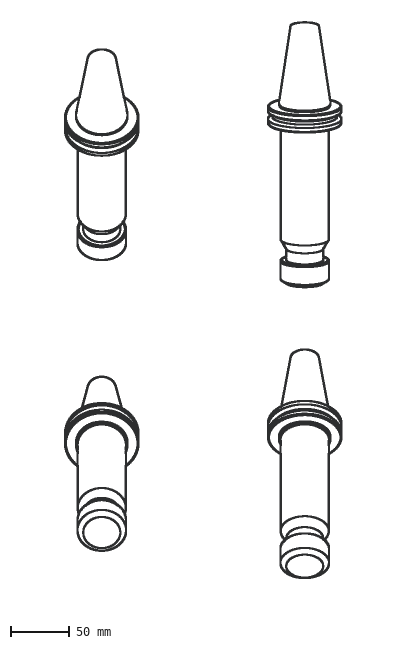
import cadquery as cq


total_length = 228.2
taper_large_diameter = 44.5
taper_ratio = 7 / 24
flange_diameter = 63.5
groove_diameter = 56.0
body_diameter = 41.5
neck_diameter = 32.0
nut_diameter = 42.0
nut_face_diameter = 32.0

nut_chamfer_top = 3.5
nut_top = 20.3
neck_top = 30.1
body_bottom = 38.3
collar_bottom = 139.7
flange_bottom = 141.0
groove_center = 148.8
flange_top = 156.8
gauge_plane = 159.8

groove_floor_width = 2.7
groove_mouth_width = 6.8
flange_chamfer = 1.0
collar_chamfer = (taper_large_diameter - body_diameter) / 2
gauge_land = 1.4
undercut_depth = 0.7
nut_edge = 1.1
taper_tip_fillet = 1.1

flange_radius = flange_diameter / 2
taper_large_radius = taper_large_diameter / 2
taper_length = total_length - gauge_plane
taper_small_radius = (taper_large_diameter - taper_length * taper_ratio) / 2


def revolve_profile(points):
    """Revolve (radius, height) points, closed along the Z axis."""
    axis_bottom = (0, points[0][1])
    axis_top = (0, points[-1][1])
    outline = cq.Workplane("XZ").polyline([axis_bottom] + points + [axis_top]).close()
    return outline.revolve(360, (0, 0, 0), (0, 1, 0))


def make_nut():
    radius = nut_diameter / 2
    return revolve_profile([
        (nut_face_diameter / 2, 0),
        (radius, nut_chamfer_top),
        (radius, nut_top - nut_edge),
        (radius - nut_edge, nut_top),
    ])


def make_body():
    """Neck, conical shoulder, long body and collar below the flange."""
    neck_radius = neck_diameter / 2
    body_radius = body_diameter / 2
    return revolve_profile([
        (neck_radius, nut_top),
        (neck_radius, neck_top),
        (body_radius, body_bottom),
        (body_radius, collar_bottom - collar_chamfer / 2),
        (taper_large_radius, collar_bottom),
        (taper_large_radius, flange_bottom),
    ])


def make_flange():
    """Flange with a V-groove for the tool gripper."""
    groove_radius = groove_diameter / 2
    half_mouth = groove_mouth_width / 2
    half_floor = groove_floor_width / 2
    return revolve_profile([
        (flange_radius - flange_chamfer, flange_bottom),
        (flange_radius, flange_bottom + flange_chamfer),
        (flange_radius, groove_center - half_mouth),
        (groove_radius, groove_center - half_floor),
        (groove_radius, groove_center + half_floor),
        (flange_radius, groove_center + half_mouth),
        (flange_radius, flange_top - flange_chamfer),
        (flange_radius - flange_chamfer, flange_top),
    ])


def make_shank():
    """Undercut, short land and steep taper with a rounded tip."""
    undercut_radius = taper_large_radius - undercut_depth
    land_bottom = gauge_plane - gauge_land
    shank = revolve_profile([
        (undercut_radius, flange_top),
        (undercut_radius, land_bottom - undercut_depth / 2),
        (taper_large_radius, land_bottom),
        (taper_large_radius, gauge_plane),
        (taper_small_radius, total_length),
    ])
    return shank.faces(">Z").edges().fillet(taper_tip_fillet)


result = make_nut().union(make_body()).union(make_flange()).union(make_shank())